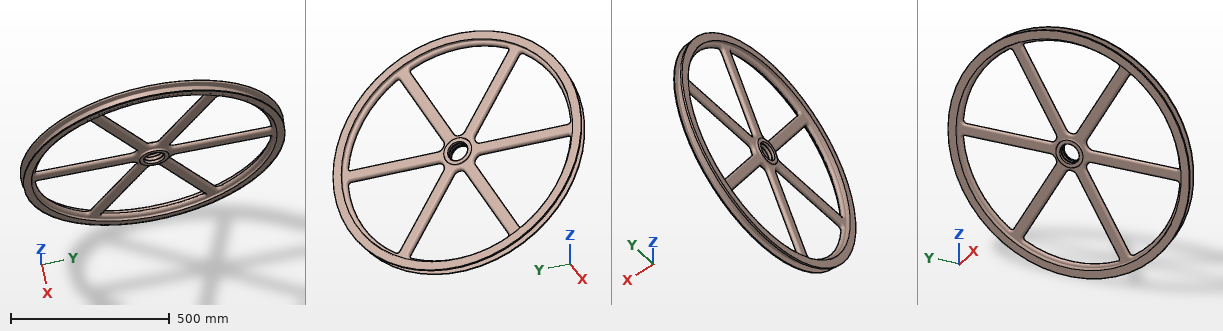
import cadquery as cq
import math

width = 38.0

front_flange_radius = 848 / 2
front_chamfer_radius = 842.0 / 2
front_chamfer_depth = 1.0
back_flange_radius = 842.0 / 2
front_flange_thickness = 8.5
back_flange_thickness = 3.0
groove_floor_radius = 800.0 / 2
groove_corner_fillet = 2.1
flange_edge_round = 2.1
recess_radius = 790.0 / 2

hub_radius = 64.0
boss_radius = 95.0 / 2
boss_front = 6.0
boss_back = width
boss_middle = (boss_front + boss_back) / 2
bore_radius = 68 / 2
lip_radius = 62.0 / 2
lip_width = 13.0

web_thickness = 18.0
web_front = boss_middle - web_thickness / 2
web_back = boss_middle + web_thickness / 2
web_fillet = 2.1
fillet_sag = web_fillet * (1 - math.sqrt(0.5))
web_radius = (recess_radius + groove_floor_radius) / 2
rim_inner_radius = 382
spoke_count = 6
spoke_width = 41.0
rim_corner_radius = 10.0
hub_corner_radius = 20.0
edge_round = 8.5


def disc(radius, front, back):
    """Disc on the wheel axis between two X positions."""
    return cq.Workplane("YZ").workplane(offset=front).circle(radius).extrude(back - front)


def make_rim():
    """Grooved ring whose front flange is larger and thicker than the back one.

    Concave fillets blend its inner side into the web.
    """
    fillet_foot = recess_radius - web_fillet
    back_flange_start = width - back_flange_thickness
    rim = (
        cq.Workplane("XY")
        .moveTo(0, recess_radius)
        .lineTo(0, front_chamfer_radius)
        .lineTo(front_chamfer_depth, front_flange_radius)
        .lineTo(front_flange_thickness, front_flange_radius)
        .lineTo(front_flange_thickness, groove_floor_radius)
        .lineTo(back_flange_start, groove_floor_radius)
        .lineTo(back_flange_start, back_flange_radius)
        .lineTo(width, back_flange_radius)
        .lineTo(width, recess_radius)
        .lineTo(web_back + web_fillet, recess_radius)
        .threePointArc(
            (web_back + fillet_sag, recess_radius - fillet_sag),
            (web_back, fillet_foot),
        )
        .lineTo(web_front, fillet_foot)
        .threePointArc(
            (web_front - fillet_sag, recess_radius - fillet_sag),
            (web_front - web_fillet, recess_radius),
        )
        .close()
        .revolve(360, (0, 0, 0), (1, 0, 0))
    )
    floor_corners = cq.selectors.RadiusNthSelector(-3)
    rim = rim.edges(floor_corners).fillet(groove_corner_fillet)
    front_flange_edges = cq.selectors.RadiusNthSelector(-1)
    return rim.edges(front_flange_edges).edges(">X").fillet(flange_edge_round)


def make_window():
    """Opening between two neighbouring spokes, centred on the +Y direction."""
    half_width = spoke_width / 2
    half_pitch = math.pi / spoke_count

    def spoke_side(radius):
        """Point at this radius on the spoke side bounding the window at +Z."""
        angle = half_pitch - math.asin(half_width / radius)
        return radius * math.cos(angle), radius * math.sin(angle)

    inner_y, inner_z = spoke_side(hub_radius)
    outer_y, outer_z = spoke_side(rim_inner_radius)
    window = (
        cq.Workplane("YZ")
        .moveTo(inner_y, inner_z)
        .lineTo(outer_y, outer_z)
        .threePointArc((rim_inner_radius, 0), (outer_y, -outer_z))
        .lineTo(inner_y, -inner_z)
        .threePointArc((hub_radius, 0), (inner_y, inner_z))
        .close()
        .extrude(width)
    )
    window = window.edges("|X").edges("<Y").fillet(hub_corner_radius)
    return window.edges("|X").edges(">Y").fillet(rim_corner_radius)


def make_web():
    """Spoked disc with every window edge rounded on both faces."""
    web = disc(web_radius, web_front, web_back)
    window = make_window()
    for i in range(spoke_count):
        angle = (i + 0.5) * 360 / spoke_count
        web = web.cut(window.rotate((0, 0, 0), (1, 0, 0), angle))
    window_edges = []
    for face in web.faces("<X or >X").vals():
        for outline in face.innerWires():
            window_edges += outline.Edges()
    return web.newObject(window_edges).fillet(edge_round)


def make_boss():
    """Hub boss with a concave fillet where it meets each web face."""
    fillet_foot = boss_radius + web_fillet
    return (
        cq.Workplane("XY")
        .moveTo(boss_front, 0)
        .lineTo(boss_front, boss_radius)
        .lineTo(web_front - web_fillet, boss_radius)
        .threePointArc(
            (web_front - fillet_sag, boss_radius + fillet_sag),
            (web_front, fillet_foot),
        )
        .lineTo(web_back, fillet_foot)
        .threePointArc(
            (web_back + fillet_sag, boss_radius + fillet_sag),
            (web_back + web_fillet, boss_radius),
        )
        .lineTo(boss_back, boss_radius)
        .lineTo(boss_back, 0)
        .close()
        .revolve(360, (0, 0, 0), (1, 0, 0))
    )


def make_bore():
    """Stepped bore that leaves a narrow lip halfway through the boss."""
    lip_front = boss_middle - lip_width / 2
    lip_back = boss_middle + lip_width / 2
    front_bore = disc(bore_radius, boss_front, lip_front)
    lip_hole = disc(lip_radius, lip_front, lip_back)
    back_bore = disc(bore_radius, lip_back, boss_back)
    return front_bore.union(lip_hole).union(back_bore)


result = make_rim().union(make_web()).union(make_boss()).cut(make_bore())